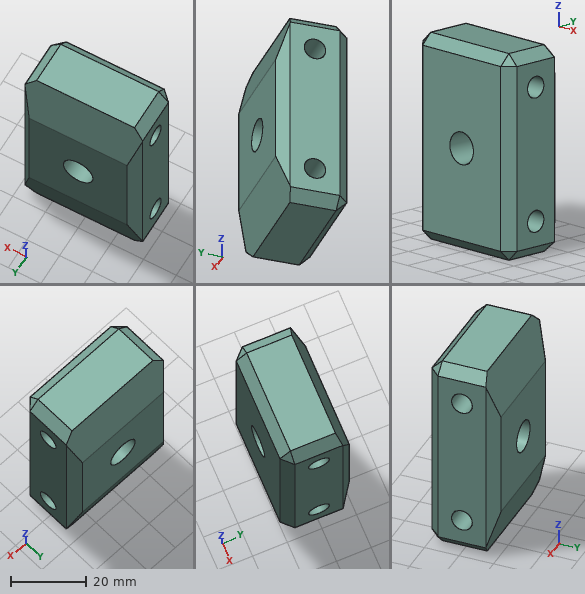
import cadquery as cq

width = 36.0
depth = 20.0
height = 57.0

chamfer = 3.0

back_flat_height = 30.0
taper_depth = 4.0

main_hole_diameter = 9.0
cross_hole_diameter = 6.0
cross_hole_spacing = 37.0


def tapered_profile():
    """Extrude the side profile: a rectangle whose back slopes in at both ends."""
    front = -depth / 2
    back = depth / 2
    end_back = back - taper_depth
    top = height / 2
    flat_top = back_flat_height / 2
    return (
        cq.Workplane("YZ")
        .polyline([
            (front, -top),
            (end_back, -top),
            (back, -flat_top),
            (back, flat_top),
            (end_back, top),
            (front, top),
        ])
        .close()
        .extrude(width / 2, both=True)
    )


def chamfered_box():
    """Block chamfered on every edge except the top and bottom back edges."""
    box = cq.Workplane("XY").box(width, depth, height)
    return box.edges("|Y or |Z or <Y").chamfer(chamfer)


def main_hole():
    """Central bore running front to back."""
    return cq.Workplane("XZ").circle(main_hole_diameter / 2).extrude(depth, both=True)


def cross_holes():
    """Two bores running side to side, one near each end."""
    return (
        cq.Workplane("YZ")
        .pushPoints([(0, side * cross_hole_spacing / 2) for side in (-1, 1)])
        .circle(cross_hole_diameter / 2)
        .extrude(width, both=True)
    )


body = chamfered_box().intersect(tapered_profile())
result = body.cut(main_hole()).cut(cross_holes())